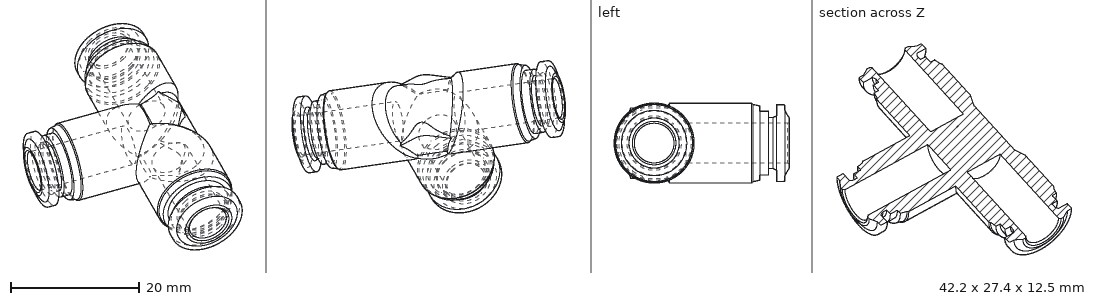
import cadquery as cq
import math

port_reach = 21.1
body_radius = 6.25
body_end = 15.2
bevel_length = 0.2
nose_start_radius = 6.05
nose_end_radius = 5.8
nose_end = 16.5
collar_radius = 5.0
collar_end = 17.85
neck_radius = 4.0
neck_flare_start = 18.55
neck_flare_radius = 4.25
flange_radius = 6.0
flange_back = 19.1
flange_front = 20.4
flange_edge_round = 0.2
cone_base_radius = 5.1
cone_tip_radius = 3.9
bore_radius = 3.1
bore_lead_in = 0.3
bore_floor = 5.0

core_radius = 5.5
relief_front_y = -2.4
relief_half_width = -relief_front_y
relief_back_half_width = 7.4
wall_foot_slope = 0.41
wall_foot_offset = 3.2
cut_clearance = 1.0
wall_front_y = -4.0

pad_top = 5.5
pad_front_y = -1.95
pad_apex_y = 4.05
pad_apex_round = 2.4
pad_edge_angle = 30.0
pad_draft = 17.0
pad_base = 2.5


relief_slope = (relief_back_half_width - relief_half_width) / (body_radius - relief_front_y)


def relief_edge(y):
    """Half width of the relief where it breaks out of the barrels."""
    return relief_half_width + relief_slope * (y - relief_front_y)


def wall_foot(y):
    """Half width of the relief at the foot of its sloped wall."""
    return wall_foot_offset + wall_foot_slope * y


def port():
    """Solid port along +Z, starting at the tee centre."""
    return (
        cq.Workplane("XZ")
        .moveTo(0, 0)
        .lineTo(body_radius, 0)
        .lineTo(body_radius, body_end)
        .lineTo(nose_start_radius, body_end + bevel_length)
        .lineTo(nose_end_radius, nose_end)
        .lineTo(collar_radius, nose_end)
        .lineTo(collar_radius, collar_end)
        .lineTo(neck_radius, collar_end)
        .lineTo(neck_radius, neck_flare_start)
        .lineTo(neck_flare_radius, flange_back)
        .lineTo(flange_radius, flange_back)
        .lineTo(flange_radius, flange_front - flange_edge_round)
        .radiusArc((flange_radius - flange_edge_round, flange_front), -flange_edge_round)
        .lineTo(cone_base_radius, flange_front)
        .lineTo(cone_tip_radius, port_reach)
        .lineTo(0, port_reach)
        .close()
        .revolve(360, (0, 0, 0), (0, 1, 0))
    )


def bore():
    """Blind tube bore along +Z with a chamfered mouth."""
    return (
        cq.Workplane("XZ")
        .moveTo(0, bore_floor)
        .lineTo(bore_radius, bore_floor)
        .lineTo(bore_radius, port_reach - bore_lead_in)
        .lineTo(bore_radius + bore_lead_in, port_reach)
        .lineTo(0, port_reach)
        .close()
        .revolve(360, (0, 0, 0), (0, 1, 0))
    )


def at_each_port(shape):
    """Copies of a +Z shape turned to the left, right and front ports."""
    left = shape.rotate((0, 0, 0), (0, 1, 0), -90)
    right = shape.rotate((0, 0, 0), (0, 1, 0), 90)
    front = shape.rotate((0, 0, 0), (1, 0, 0), 90)
    return left, right, front


def relief_cut():
    """Wedge that clears the barrels between the two in-line ports."""
    back_y = body_radius + cut_clearance
    return (
        cq.Workplane("XY")
        .moveTo(-relief_half_width, relief_front_y)
        .lineTo(relief_half_width, relief_front_y)
        .lineTo(relief_edge(back_y), back_y)
        .lineTo(-relief_edge(back_y), back_y)
        .close()
        .extrude(body_radius + cut_clearance, both=True)
    )


def wall_section(radius, half_width_at):
    """Upright slanted section of an X-axis cylinder, closed by a chord at the front."""
    front_y = wall_front_y * radius / body_radius
    front_z = math.sqrt(radius**2 - front_y**2)
    chord_top = cq.Vector(half_width_at(front_y), front_y, front_z)
    chord_bottom = cq.Vector(half_width_at(front_y), front_y, -front_z)
    along = cq.Vector(half_width_at(1) - half_width_at(0), 1, 0)
    half_length = radius * along.Length
    start_angle = math.degrees(math.asin(front_z / radius))
    arc = cq.Edge.makeEllipse(
        half_length,
        radius,
        pnt=cq.Vector(half_width_at(0), 0, 0),
        dir=along.cross(cq.Vector(0, 0, 1)),
        xdir=along,
        angle1=start_angle - 180,
        angle2=180 - start_angle,
    )
    return cq.Wire.assembleEdges([arc, cq.Edge.makeLine(chord_top, chord_bottom)])


def relief_wall():
    """Sloped wall from the right barrel down to the core."""
    outer = wall_section(body_radius, relief_edge)
    inner = wall_section(core_radius, wall_foot)
    return cq.Workplane(obj=cq.Solid.makeLoft([outer, inner], True))


def pad():
    """Flat pad with a drafted, rounded back, filling the relief above the core."""
    edge_angle = math.radians(pad_edge_angle)
    edge_rise = math.tan(edge_angle)
    corner_x = (relief_edge(0) + relief_slope * pad_apex_y) / (1 + relief_slope * edge_rise)
    corner_y = pad_apex_y - edge_rise * corner_x
    round_x = pad_apex_round * math.sin(edge_angle)
    round_y = pad_apex_y - edge_rise * round_x
    round_top = round_y + pad_apex_round * (1 - math.cos(edge_angle))
    front_half_width = relief_edge(pad_front_y)
    return (
        cq.Workplane("XY", origin=(0, 0, pad_top))
        .moveTo(-front_half_width, pad_front_y)
        .lineTo(front_half_width, pad_front_y)
        .lineTo(corner_x, corner_y)
        .lineTo(round_x, round_y)
        .threePointArc((0, round_top), (-round_x, round_y))
        .lineTo(-corner_x, corner_y)
        .close()
        .extrude(pad_base - pad_top, taper=-pad_draft)
    )


def front_ramp():
    """Short ramp from the crest of the front barrel down to the pad."""
    crest_z = math.sqrt(body_radius**2 - relief_half_width**2)
    return (
        cq.Workplane("XZ", origin=(0, relief_front_y, 0))
        .moveTo(-relief_half_width, pad_base)
        .lineTo(relief_half_width, pad_base)
        .lineTo(relief_half_width, crest_z)
        .threePointArc((0, body_radius), (-relief_half_width, crest_z))
        .close()
        .workplane(offset=relief_front_y - pad_front_y)
        .moveTo(-relief_half_width, pad_base)
        .lineTo(relief_half_width, pad_base)
        .lineTo(relief_half_width, pad_top)
        .lineTo(-relief_half_width, pad_top)
        .close()
        .loft(ruled=True)
    )


left_port, right_port, front_port = at_each_port(port())
result = left_port.union(right_port).union(front_port)

core = cq.Workplane("YZ").circle(core_radius).extrude(body_end / 2, both=True)
result = result.cut(relief_cut()).union(core)
right_wall = relief_wall()
for wall in (right_wall, right_wall.mirror("YZ")):
    result = result.union(wall)
for feature in (pad(), front_ramp()):
    result = result.union(feature).union(feature.mirror("XY"))

for tube_bore in at_each_port(bore()):
    result = result.cut(tube_bore)